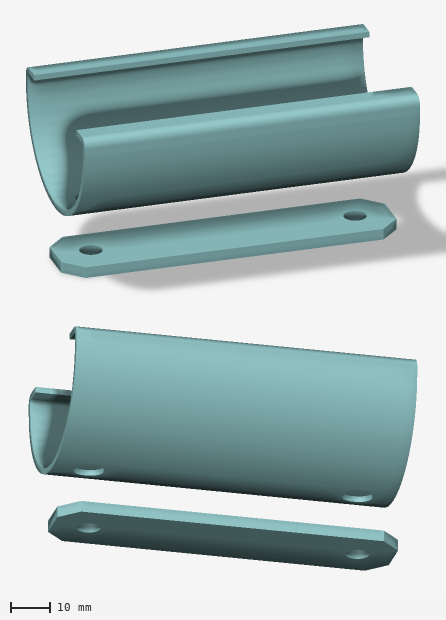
import cadquery as cq
import math

length = 90.0
overall_height = 45.6
hole_spacing = 70.9

outer_radius = 25.0
wall = 1.5
rim_height = 4.7
flange_reach = 7.0
bend_outer_radius = 2.4
cradle_hole_diameter = 7.8

plate_width = 20.0
plate_thickness = 3.0
corner_cut = 5.0
plate_hole_diameter = 6.0

inner_radius = outer_radius - wall
axis_z = overall_height - rim_height
bend_center_x = outer_radius - bend_outer_radius
bend_center_z = overall_height - bend_outer_radius
bend_inner_radius = bend_outer_radius - wall
flange_tip_x = outer_radius - flange_reach
flange_bottom_z = overall_height - wall


def bend_middle(radius, side):
    """Point halfway round a rim bend; side is -1 for left and +1 for right."""
    offset = radius * math.sqrt(0.5)
    return side * (bend_center_x + offset), bend_center_z + offset


def hole_cutters(diameter, height):
    """Vertical cylinders at the two hole positions, starting at Z = 0."""
    half_spacing = hole_spacing / 2
    return (
        cq.Workplane("XY")
        .pushPoints([(0, -half_spacing), (0, half_spacing)])
        .circle(diameter / 2)
        .extrude(height)
    )


def make_cradle():
    """Constant-thickness section extruded along Y, with two holes in its floor."""
    section = (
        cq.Workplane("XZ")
        .moveTo(-flange_tip_x, overall_height)
        .lineTo(-bend_center_x, overall_height)
        .threePointArc(bend_middle(bend_outer_radius, -1), (-outer_radius, bend_center_z))
        .lineTo(-outer_radius, axis_z)
        .threePointArc((0, axis_z - outer_radius), (outer_radius, axis_z))
        .lineTo(outer_radius, bend_center_z)
        .threePointArc(bend_middle(bend_outer_radius, 1), (bend_center_x, overall_height))
        .lineTo(flange_tip_x, overall_height)
        .lineTo(flange_tip_x, flange_bottom_z)
        .lineTo(bend_center_x, flange_bottom_z)
        .threePointArc(bend_middle(bend_inner_radius, 1), (inner_radius, bend_center_z))
        .lineTo(inner_radius, axis_z)
        .threePointArc((0, axis_z - inner_radius), (-inner_radius, axis_z))
        .lineTo(-inner_radius, bend_center_z)
        .threePointArc(bend_middle(bend_inner_radius, -1), (-bend_center_x, flange_bottom_z))
        .lineTo(-flange_tip_x, flange_bottom_z)
        .close()
    )
    cradle = section.extrude(length / 2, both=True)
    return cradle.cut(hole_cutters(cradle_hole_diameter, overall_height))


def make_plate():
    """Flat plate with four cut corners and two through holes."""
    plate = (
        cq.Workplane("XY")
        .rect(plate_width, length)
        .extrude(plate_thickness)
        .edges("|Z")
        .chamfer(corner_cut)
    )
    return plate.cut(hole_cutters(plate_hole_diameter, plate_thickness))


cradle = make_cradle()
plate = make_plate()

result = cq.Compound.makeCompound([cradle.val(), plate.val()])